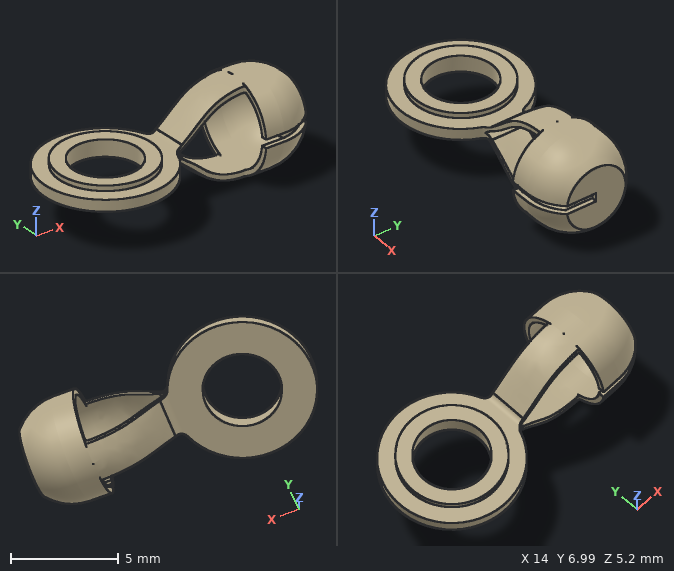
import cadquery as cq
import math

TOTAL_LENGTH = 14.0
RING_DIAMETER = 6.99
RING_RADIUS = RING_DIAMETER / 2
RING_HALF_THICKNESS = 0.32
COLLAR_RADIUS = 2.65
COLLAR_TOP = 0.62
HOLE_RADIUS = 1.85

CUP_END_X = TOTAL_LENGTH - RING_RADIUS
CUP_MOUTH_X = 7.48
DOME_START_X = 8.55
CUP_DIAMETER = 5.2
CUP_RADIUS = CUP_DIAMETER / 2
CUP_WALL = 0.31
CUP_INNER_RADIUS = CUP_RADIUS - CUP_WALL
CUP_FLOOR_X = CUP_END_X - CUP_WALL
SLOT_WIDTH = 0.46

STRAP_WIDTH = 1.99
STRAP_HALF_WIDTH = STRAP_WIDTH / 2
STRAP_START_X = 3.74
STRAP_ARC_RADIUS = 3.78
STRAP_ARC_LENGTH_X = 2.55
STRAP_START_THICKNESS = 0.2
STRAP_SECTIONS = 7
STRAP_MIN_CROWN = 0.1
CORNER_RADIUS = 0.11
BAND_HALF_WIDTH = STRAP_HALF_WIDTH + CORNER_RADIUS

ROOT_INNER_X = 3.08
BEND_START_X = 3.36
FORK_X = 3.37
FLARE_RADIUS = 0.43


def make_ring():
    disc = cq.Workplane("XY").circle(RING_RADIUS).extrude(RING_HALF_THICKNESS, both=True)
    collar = cq.Workplane("XY").circle(COLLAR_RADIUS).extrude(COLLAR_TOP)
    return disc.union(collar)


def round_ended_rod(radius, end_x):
    """Solid of revolution about X: a cylinder and a flat-ended dome."""
    end_radius = math.sqrt(radius**2 - (end_x - DOME_START_X) ** 2)
    half_angle = math.acos(end_radius / radius) / 2
    arc_middle = (DOME_START_X + radius * math.sin(half_angle), radius * math.cos(half_angle))
    return (
        cq.Workplane("XY")
        .moveTo(CUP_MOUTH_X, 0)
        .lineTo(CUP_MOUTH_X, radius)
        .lineTo(DOME_START_X, radius)
        .threePointArc(arc_middle, (end_x, end_radius))
        .lineTo(end_x, 0)
        .close()
        .revolve(360, (0, 0, 0), (1, 0, 0))
    )


def make_cup():
    shell = round_ended_rod(CUP_RADIUS, CUP_END_X).cut(round_ended_rod(CUP_INNER_RADIUS, CUP_FLOOR_X))
    slot = cq.Workplane("XY").box(
        CUP_END_X - CUP_MOUTH_X, CUP_RADIUS, SLOT_WIDTH, centered=(False, False, True)
    )
    return shell.cut(slot.translate((CUP_MOUTH_X, -CUP_RADIUS, 0)))


def strap_slope_angle(x):
    reach = min(max(CUP_MOUTH_X - x, 0), STRAP_ARC_LENGTH_X)
    return math.asin(reach / STRAP_ARC_RADIUS)


def strap_crest(x):
    """Height of the strap's outer centreline: an arc, then its tangent line."""
    angle = strap_slope_angle(x)
    straight = max(CUP_MOUTH_X - x - STRAP_ARC_LENGTH_X, 0)
    return CUP_RADIUS - STRAP_ARC_RADIUS * (1 - math.cos(angle)) - straight * math.tan(angle)


def edge_drop(radius):
    return radius - math.sqrt(radius**2 - BAND_HALF_WIDTH**2)


def band_section(x):
    """Cross-section, nearly flat at the root and matching the cup wall at the mouth."""
    along = (x - STRAP_START_X) / (CUP_MOUTH_X - STRAP_START_X)
    crown = max(math.sqrt(along), STRAP_MIN_CROWN)
    thickness = STRAP_START_THICKNESS + math.sqrt(along) * (CUP_WALL - STRAP_START_THICKNESS)
    outer = strap_crest(x)
    inner = outer - thickness / math.cos(strap_slope_angle(x))
    outer_edge = outer - crown * edge_drop(CUP_RADIUS)
    inner_edge = inner - crown * edge_drop(CUP_INNER_RADIUS)
    return (
        cq.Workplane("YZ", origin=(x, 0, 0))
        .moveTo(-BAND_HALF_WIDTH, outer_edge)
        .threePointArc((0, outer), (BAND_HALF_WIDTH, outer_edge))
        .lineTo(BAND_HALF_WIDTH, inner_edge)
        .threePointArc((0, inner), (-BAND_HALF_WIDTH, inner_edge))
        .close()
        .val()
    )


def strap_plan():
    """Half plan of the strap, with a small concave corner at the cup mouth."""
    return (
        cq.Workplane("XY")
        .moveTo(STRAP_START_X, 0)
        .lineTo(STRAP_START_X, STRAP_HALF_WIDTH)
        .lineTo(CUP_MOUTH_X - CORNER_RADIUS, STRAP_HALF_WIDTH)
        .radiusArc((CUP_MOUTH_X, BAND_HALF_WIDTH), -CORNER_RADIUS)
        .lineTo(CUP_MOUTH_X, 0)
        .close()
        .extrude(CUP_RADIUS)
    )


def make_strap():
    """Lofted band trimmed to the strap plan."""
    spacing = (CUP_MOUTH_X - STRAP_START_X) / (STRAP_SECTIONS - 1)
    stations = [STRAP_START_X + i * spacing for i in range(STRAP_SECTIONS)]
    band = cq.Workplane(cq.Solid.makeLoft([band_section(x) for x in stations]))
    half_plan = strap_plan()
    return band.intersect(half_plan.union(half_plan.mirror("XZ")))


def make_root():
    """Forked bend, flared in plan by arcs tangent to the ring and the strap sides."""
    top = strap_crest(STRAP_START_X)
    bottom = top - STRAP_START_THICKNESS / math.cos(strap_slope_angle(STRAP_START_X))
    profile = (
        cq.Workplane("XZ")
        .moveTo(ROOT_INNER_X, 0)
        .lineTo(ROOT_INNER_X, RING_HALF_THICKNESS)
        .lineTo(BEND_START_X, RING_HALF_THICKNESS)
        .tangentArcPoint((STRAP_START_X, top), relative=False)
        .lineTo(STRAP_START_X, bottom)
        .lineTo(FORK_X, 0)
        .close()
        .extrude(RING_RADIUS, both=True)
    )
    profile = profile.union(profile.mirror("XY"))

    flare_y = STRAP_HALF_WIDTH + FLARE_RADIUS
    flare_x = math.sqrt((RING_RADIUS + FLARE_RADIUS) ** 2 - flare_y**2)
    contact_scale = RING_RADIUS / (RING_RADIUS + FLARE_RADIUS)
    contact_x = flare_x * contact_scale
    contact_y = flare_y * contact_scale
    plan = (
        cq.Workplane("XY")
        .moveTo(ROOT_INNER_X, contact_y)
        .lineTo(contact_x, contact_y)
        .radiusArc((flare_x, STRAP_HALF_WIDTH), -FLARE_RADIUS)
        .lineTo(STRAP_START_X, STRAP_HALF_WIDTH)
        .lineTo(STRAP_START_X, 0)
        .lineTo(ROOT_INNER_X, 0)
        .close()
        .extrude(CUP_RADIUS, both=True)
    )
    plan = plan.union(plan.mirror("XZ"))
    return profile.intersect(plan)


strap = make_strap()
hole = cq.Workplane("XY").circle(HOLE_RADIUS).extrude(COLLAR_TOP + RING_HALF_THICKNESS, both=True)
result = (
    make_ring()
    .union(make_root())
    .union(strap)
    .union(strap.mirror("XY"))
    .union(make_cup())
    .cut(hole)
)